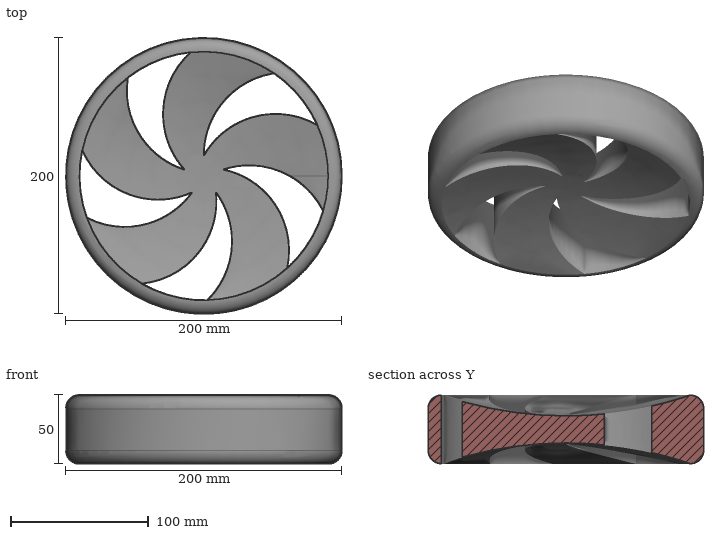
import cadquery as cq
import math

outer_diameter = 200.0
height = 50.0
edge_radius = 10.0
inner_radius = outer_diameter / 2 - edge_radius

dish_depth = 15.0
dish_radius = (inner_radius**2 + dish_depth**2) / (2 * dish_depth)

slot_count = 5
tip_radius = 15.0
arc_radius = 60.0
arc_spread = 30.0


def cylinder(radius, x=0, y=0):
    return cq.Workplane("XY").center(x, y).circle(radius).extrude(height)


def rounded_disc():
    return cylinder(outer_diameter / 2).edges().fillet(edge_radius)


def dish_cutter(centre_z):
    return cq.Workplane("XY").sphere(dish_radius).translate((0, 0, centre_z))


def swirl_slot():
    """Crescent with its tip on +Y, ending at the inside of the rim."""
    spread = math.radians(arc_spread)
    leading_disc = cylinder(arc_radius, arc_radius, tip_radius)
    trailing_disc = cylinder(
        arc_radius,
        arc_radius * math.cos(spread),
        tip_radius - arc_radius * math.sin(spread),
    )
    return leading_disc.cut(trailing_disc).intersect(cylinder(inner_radius))


top_dish = dish_cutter(height - dish_depth + dish_radius)
bottom_dish = dish_cutter(dish_depth - dish_radius)
result = rounded_disc().cut(top_dish).cut(bottom_dish)
slot = swirl_slot()
for index in range(slot_count):
    angle = index * 360 / slot_count
    result = result.cut(slot.rotate((0, 0, 0), (0, 0, 1), angle))